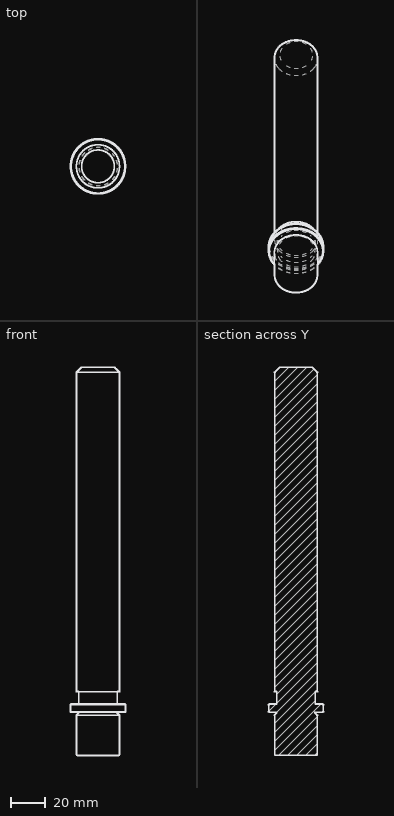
import cadquery as cq

total_length = 225.0
shaft_radius = 12.5
collar_radius = 16.0
neck_radius = 11.25

collar_bottom = 25.0
collar_thickness = 5.0
neck_length = 7.0
collar_top = collar_bottom + collar_thickness
neck_top = collar_top + neck_length

tip_chamfer = 3.0
foot_fillet = 1.0
collar_chamfer = 0.5
relief_depth = 1.5
relief_height = 1.5


def make_profile():
    """Half section of the pin: X is the radius and Y is the height along the axis."""
    return (
        cq.Workplane("XZ")
        .moveTo(0, 0)
        .lineTo(shaft_radius - foot_fillet, 0)
        .radiusArc((shaft_radius, foot_fillet), -foot_fillet)
        .lineTo(shaft_radius, collar_bottom - relief_height)
        .lineTo(shaft_radius - relief_depth, collar_bottom)
        .lineTo(collar_radius - collar_chamfer, collar_bottom)
        .lineTo(collar_radius, collar_bottom + collar_chamfer)
        .lineTo(collar_radius, collar_top - collar_chamfer)
        .lineTo(collar_radius - collar_chamfer, collar_top)
        .lineTo(neck_radius, collar_top)
        .lineTo(neck_radius, neck_top)
        .lineTo(shaft_radius, neck_top)
        .lineTo(shaft_radius, total_length - tip_chamfer)
        .lineTo(shaft_radius - tip_chamfer, total_length)
        .lineTo(0, total_length)
        .close()
    )


result = make_profile().revolve(360, (0, 0, 0), (0, 1, 0))